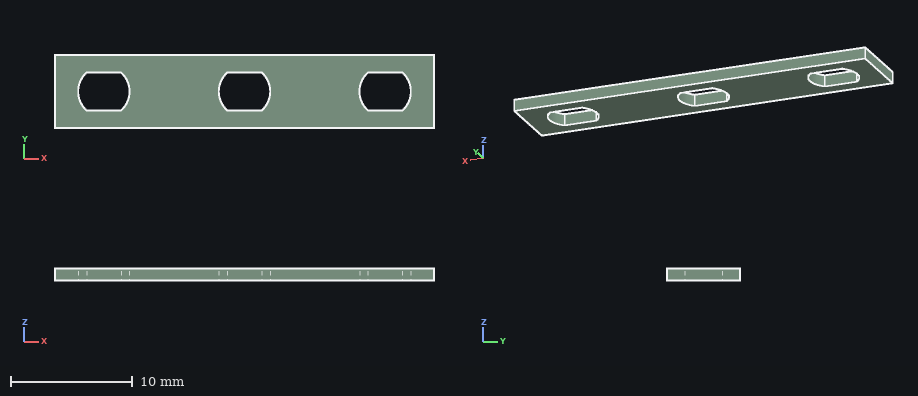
import cadquery as cq

length = 31.1
width = 6.0
thickness = 1.0

hole_diameter = 4.2
hole_across_flats = 3.1
hole_spacing = 11.55
hole_count = 3


def hole_cutter():
    """Cylinder trimmed by two flats facing the long sides of the strip."""
    cylinder = cq.Workplane("XY").circle(hole_diameter / 2).extrude(thickness)
    flats = cq.Workplane("XY").rect(hole_diameter, hole_across_flats).extrude(thickness)
    return cylinder.intersect(flats)


result = cq.Workplane("XY").rect(length, width).extrude(thickness)

for index in range(hole_count):
    hole_x = (index - (hole_count - 1) / 2) * hole_spacing
    result = result.cut(hole_cutter().translate((hole_x, 0, 0)))